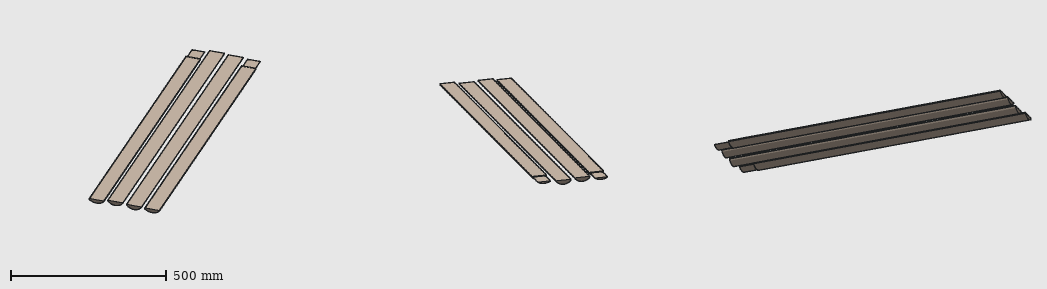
import cadquery as cq

overall_width = 241.0
overall_length = 1007.0
overall_height = 18.0

plain_height = 15.0
tongued_height = 13.0
plain_width = 51.0
tongued_width = 49.0
tongued_edge_height = 4.0
plain_edge_height = 2.0

tongue_length = 50.0
tongue_inset = 3.0
tongue_edge_height = 1.0

slat_length = 1001.0
plain_length = 1000.0
slat_pitch = (overall_width - tongued_width) / 3
first_center = tongued_width / 2
first_top = tongued_height
second_top = overall_height
third_top = plain_height
fourth_top = overall_height
plain_start = overall_length - plain_length
first_start = overall_length - slat_length
fourth_start = 0.0


def rounded_bar(center_x, top, start_y, length, width, height, edge_height):
    """Bar along +Y with a flat top, short upright sides and an arched underside."""
    half_width = width / 2
    return (
        cq.Workplane("XZ", origin=(center_x, start_y, top))
        .moveTo(-half_width, 0)
        .lineTo(half_width, 0)
        .lineTo(half_width, -edge_height)
        .threePointArc((0, -height), (-half_width, -edge_height))
        .close()
        .extrude(-length)
    )


def plain_slat(center_x, top):
    """Slat with one section over its whole length."""
    return rounded_bar(
        center_x, top, plain_start, plain_length, plain_width, plain_height, plain_edge_height
    )


def tongued_slat(center_x, top, start_y):
    """Slat whose +Y end is reduced to a narrower, thinner tongue."""
    body_length = slat_length - tongue_length
    body = rounded_bar(
        center_x, top, start_y, body_length, tongued_width, tongued_height, tongued_edge_height
    )
    tongue = rounded_bar(
        center_x,
        top - tongue_inset,
        start_y + body_length,
        tongue_length,
        tongued_width - 2 * tongue_inset,
        tongued_height - 2 * tongue_inset,
        tongue_edge_height,
    )
    return body.union(tongue)


plain_slats = [
    plain_slat(first_center + slat_pitch, second_top),
    plain_slat(first_center + 2 * slat_pitch, third_top),
]
tongued_slats = [
    tongued_slat(first_center, first_top, first_start),
    tongued_slat(first_center + 3 * slat_pitch, fourth_top, fourth_start),
]

result = cq.Compound.makeCompound([slat.val() for slat in plain_slats + tongued_slats])